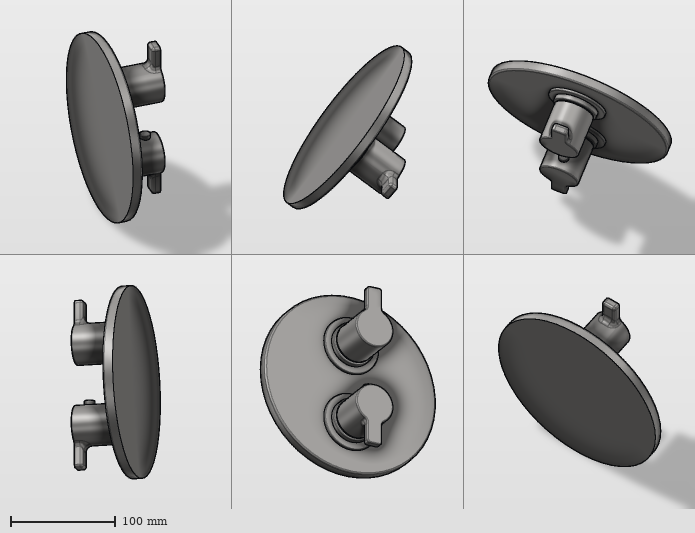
import cadquery as cq

plate_radius = 92.5
plate_thickness = 10.0
plate_edge_fillet = 1.7

control_offset = 40.0
flange_radius = 29.0
flange_back = 12.8
collar_radius = 22.0
collar_back = 18.0
step_edge_fillet = 0.5
neck_radius = 19.0
neck_back = 18.9
handle_radius = 20.0
handle_back = 59.8
handle_edge_fillet = 1.1

lever_reach = 42.4
lever_width = 15.5
lever_depth = 8.9
lever_edge_fillet = 3.0
lever_root_fillet = 6.3

button_radius = 5.2
button_reach = 23.9
button_from_back = 13.5
button_edge_fillet = 0.5

trim_length = 11.1
pick_margin = 1.8


def cylinder_along_y(radius, start, end):
    """Cylinder around the Y axis between two Y positions."""
    return cq.Workplane("XZ", origin=(0, start, 0)).circle(radius).extrude(start - end)


def make_lever():
    """Upright bar with rounded front corners and a rounded tip."""
    return (
        cq.Workplane("XY")
        .box(lever_width, lever_depth + trim_length, lever_reach, centered=(True, False, False))
        .translate((0, handle_back - lever_depth, 0))
        .edges("|Z and <Y")
        .fillet(lever_edge_fillet)
        .faces(">Z")
        .edges("not >Y")
        .fillet(lever_edge_fillet)
    )


def make_handle():
    """Barrel with its lever blended in and the back rim rounded."""
    barrel = cylinder_along_y(handle_radius, neck_back, handle_back + trim_length)
    handle = barrel.union(make_lever())

    root_zone = cq.selectors.BoxSelector(
        (-lever_width, handle_back - lever_depth - pick_margin, handle_radius / 2),
        (lever_width, handle_back + trim_length - pick_margin, handle_radius + pick_margin),
    )
    handle = handle.edges(root_zone).edges("not |Z").fillet(lever_root_fillet)

    trim = cylinder_along_y(2 * lever_reach, handle_back, handle_back + 2 * trim_length)
    return handle.cut(trim).faces(">Y").edges().fillet(handle_edge_fillet)


def make_control():
    """Flange, collar, neck and handle around the Y axis, lever pointing up."""
    flange = cylinder_along_y(flange_radius, 0, flange_back).faces(">Y").edges().fillet(step_edge_fillet)
    collar = cylinder_along_y(collar_radius, 0, collar_back).faces(">Y").edges().fillet(step_edge_fillet)
    neck = cylinder_along_y(neck_radius, 0, neck_back)
    return flange.union(collar).union(neck).union(make_handle())


def make_button():
    """Round pin pointing down from the handle axis."""
    return (
        cq.Workplane("XY")
        .center(0, handle_back - button_from_back)
        .circle(button_radius)
        .extrude(-button_reach)
        .faces("<Z")
        .edges()
        .fillet(button_edge_fillet)
    )


plate = cylinder_along_y(plate_radius, 0, plate_thickness)
plate = plate.faces(">Y").edges().fillet(plate_edge_fillet)

control = make_control()
upper_control = control.translate((0, 0, control_offset))
lower_control = (
    control.union(make_button())
    .rotate((0, 0, 0), (0, 1, 0), 180)
    .translate((0, 0, -control_offset))
)

result = plate.union(upper_control).union(lower_control)